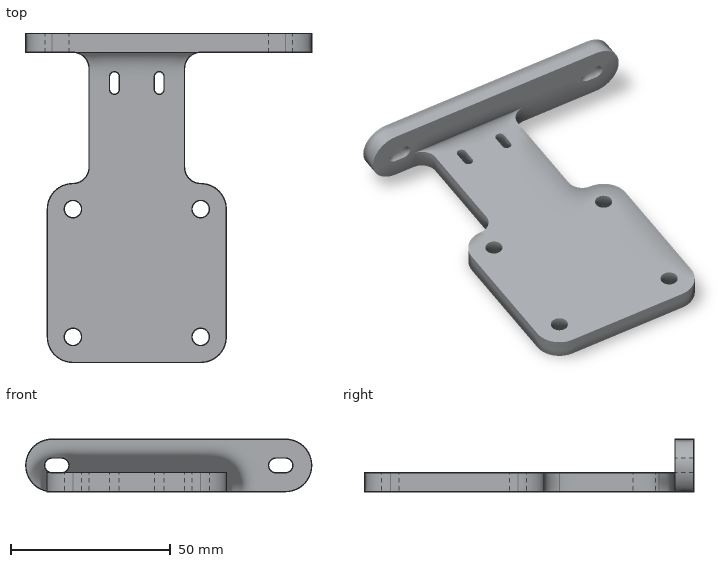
import cadquery as cq

bar_length = 89.5
bar_height = 16.5
thickness = 6.0
bar_slot_spacing = 70.0
bar_slot_length = 7.5
bar_slot_width = 4.5

total_depth = 103.0
pad_size = 56.0
pad_center_x = -10.0
hole_spacing = 40.0
pad_radius = (pad_size - hole_spacing) / 2
hole_diameter = 5.4
neck_width = 30.0
neck_fillet = (hole_spacing - neck_width) / 2

neck_slot_spacing = 14.0
neck_slot_length = 7.0
neck_slot_width = 3.0
neck_slot_setback = 15.6

bar_front_y = total_depth - thickness
pad_center_y = pad_size / 2
neck_length = bar_front_y - pad_size


def make_bar():
    """Upright bar with full-round ends and a horizontal slot near each end."""
    plane = cq.Workplane("XZ", origin=(0, total_depth, bar_height / 2))
    bar = plane.slot2D(bar_length, bar_height).extrude(thickness)
    slots = (
        plane.pushPoints([(-bar_slot_spacing / 2, 0), (bar_slot_spacing / 2, 0)])
        .slot2D(bar_slot_length, bar_slot_width)
        .extrude(thickness)
    )
    return bar.cut(slots)


def make_pad():
    """Square pad with rounded vertical corners."""
    return (
        cq.Workplane("XY", origin=(pad_center_x, pad_center_y, 0))
        .rect(pad_size, pad_size)
        .extrude(thickness)
        .edges("|Z")
        .fillet(pad_radius)
    )


def make_neck():
    """Neck flaring outward through concave arcs at the pad and at the bar."""
    half_width = neck_width / 2
    flare = half_width + neck_fillet
    radius = neck_fillet
    return (
        cq.Workplane("XY", origin=(pad_center_x, pad_size, 0))
        .moveTo(-flare, -thickness)
        .lineTo(flare, -thickness)
        .lineTo(flare, 0)
        .radiusArc((half_width, radius), radius)
        .lineTo(half_width, neck_length - radius)
        .radiusArc((flare, neck_length), radius)
        .lineTo(-flare, neck_length)
        .radiusArc((-half_width, neck_length - radius), radius)
        .lineTo(-half_width, radius)
        .radiusArc((-flare, 0), radius)
        .close()
        .extrude(thickness)
    )


def make_pad_holes():
    """Four through holes on a square pattern."""
    return (
        cq.Workplane("XY", origin=(pad_center_x, pad_center_y, 0))
        .rect(hole_spacing, hole_spacing, forConstruction=True)
        .vertices()
        .circle(hole_diameter / 2)
        .extrude(thickness)
    )


def make_neck_slots():
    """Two through slots running along the neck."""
    return (
        cq.Workplane("XY", origin=(pad_center_x, total_depth - neck_slot_setback, 0))
        .pushPoints([(-neck_slot_spacing / 2, 0), (neck_slot_spacing / 2, 0)])
        .slot2D(neck_slot_length, neck_slot_width, 90)
        .extrude(thickness)
    )


carrier = make_pad().union(make_neck()).cut(make_pad_holes()).cut(make_neck_slots())
result = make_bar().union(carrier)